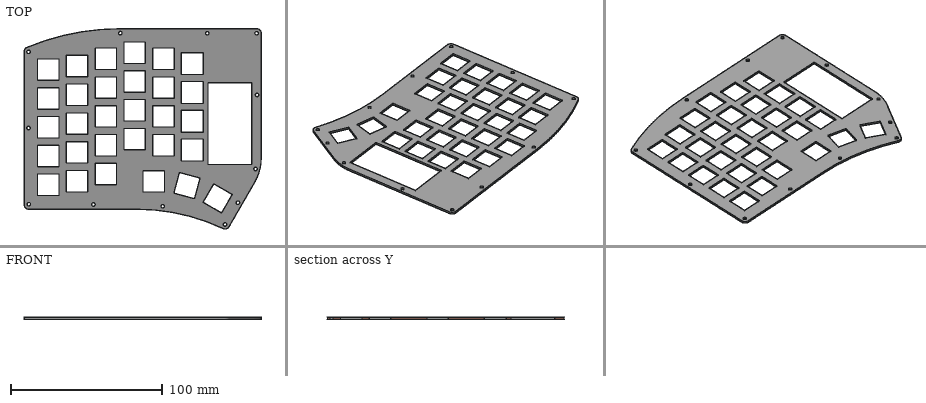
import cadquery as cq
import math

WIDTH = 156.91
THICKNESS = 1.5
TOP_Y = 119.55
CORNER_RADIUS = 3.0

TOP_ARC_START_X = 63.3
TOP_ARC_RADIUS = 159.0
BOTTOM_ARC_START_X = 74.5
BOTTOM_ARC_RADIUS = 134.0

SLANT_ANGLE = 30.0
SLANT_TOP_Y = 25.4
SLANT_BLEND_RADIUS = 32.0

KEY_SIZE = 14.0
INNER_KEY_SIZE = 14.3
KEY_PITCH = 19.05
FIRST_KEY_X = 15.94
FIRST_KEY_Y = 16.22
KEY_COLUMNS = [
    (0, 5, KEY_SIZE),
    (2.4, 5, KEY_SIZE),
    (7.16, 5, KEY_SIZE),
    (KEY_PITCH + 11.2, 4, KEY_SIZE),
    (KEY_PITCH + 7.16, 4, KEY_SIZE),
    (KEY_PITCH + 3.95, 4, INNER_KEY_SIZE),
]
THUMB_KEYS = [
    (85.75, 18.5, 0),
    (107.7, 15.7, -15),
    (128.0, 7.25, -30),
]

WINDOW_WIDTH = 28.7
WINDOW_HEIGHT = 54.0
WINDOW_CENTER = (136.1, 56.7)

HOLE_DIAMETER = 2.2
HOLE_CENTERS = [
    (2.9, 104.2),
    (2.9, 53.8),
    (3.1, 3.4),
    (45.8, 3.2),
    (91.7, 2.0),
    (132.9, -10.0),
    (141.4, 4.4),
    (153.1, 26.7),
    (154.1, 75.7),
    (153.8, 116.5),
    (121.1, 116.5),
    (63.6, 116.6),
]


def arc_rise(run, radius):
    """Distance an arc departs from its tangent line after travelling `run` along it."""
    return radius - math.sqrt(radius**2 - run**2)


def bottom_arc_y(x):
    return -arc_rise(x - BOTTOM_ARC_START_X, BOTTOM_ARC_RADIUS)


def thumb_tip():
    """Sharp corner where the bottom arc, centred below its tangent point, meets the slanted edge."""
    angle = math.radians(SLANT_ANGLE)
    way = (-math.sin(angle), -math.cos(angle))
    start = (WIDTH - BOTTOM_ARC_START_X, SLANT_TOP_Y + BOTTOM_ARC_RADIUS)
    along = start[0] * way[0] + start[1] * way[1]
    excess = start[0] ** 2 + start[1] ** 2 - BOTTOM_ARC_RADIUS**2
    t = -along - math.sqrt(along**2 - excess)
    return WIDTH + t * way[0], SLANT_TOP_Y + t * way[1]


def round_corner(body, corner, radius):
    """Fillet the upright edge at an outline corner."""
    nearest = cq.selectors.NearestToPointSelector((*corner, THICKNESS / 2))
    return body.edges(nearest).fillet(radius)


def plate():
    tip = thumb_tip()
    bottom_mid_x = (BOTTOM_ARC_START_X + tip[0]) / 2
    top_mid_x = TOP_ARC_START_X / 2
    top_mid_y = TOP_Y - arc_rise(TOP_ARC_START_X - top_mid_x, TOP_ARC_RADIUS)
    left_top_y = TOP_Y - arc_rise(TOP_ARC_START_X, TOP_ARC_RADIUS)
    body = (
        cq.Workplane("XY")
        .lineTo(BOTTOM_ARC_START_X, 0)
        .threePointArc((bottom_mid_x, bottom_arc_y(bottom_mid_x)), tip)
        .lineTo(WIDTH, SLANT_TOP_Y)
        .lineTo(WIDTH, TOP_Y)
        .lineTo(TOP_ARC_START_X, TOP_Y)
        .threePointArc((top_mid_x, top_mid_y), (0, left_top_y))
        .close()
        .extrude(THICKNESS)
    )
    for corner in [(0, 0), tip, (WIDTH, TOP_Y), (0, left_top_y)]:
        body = round_corner(body, corner, CORNER_RADIUS)
    return round_corner(body, (WIDTH, SLANT_TOP_Y), SLANT_BLEND_RADIUS)


def opening(x, y, width, height, angle=0):
    """Rectangular cutter through the plate, turned about its own centre."""
    cutter = cq.Workplane("XY").rect(width, height).extrude(THICKNESS)
    return cutter.rotate((0, 0, 0), (0, 0, 1), angle).translate((x, y, 0))


def cut_column_keys(body):
    for column, (lowest, count, size) in enumerate(KEY_COLUMNS):
        x = FIRST_KEY_X + column * KEY_PITCH
        for row in range(count):
            y = FIRST_KEY_Y + lowest + row * KEY_PITCH
            body = body.cut(opening(x, y, size, size))
    return body


def cut_thumb_keys(body):
    for x, y, angle in THUMB_KEYS:
        body = body.cut(opening(x, y, KEY_SIZE, KEY_SIZE, angle))
    return body


def cut_window(body):
    return body.cut(opening(*WINDOW_CENTER, WINDOW_WIDTH, WINDOW_HEIGHT))


def cut_screw_holes(body):
    holes = cq.Workplane("XY").pushPoints(HOLE_CENTERS).circle(HOLE_DIAMETER / 2).extrude(THICKNESS)
    return body.cut(holes)


result = plate()
result = cut_column_keys(result)
result = cut_thumb_keys(result)
result = cut_window(result)
result = cut_screw_holes(result)